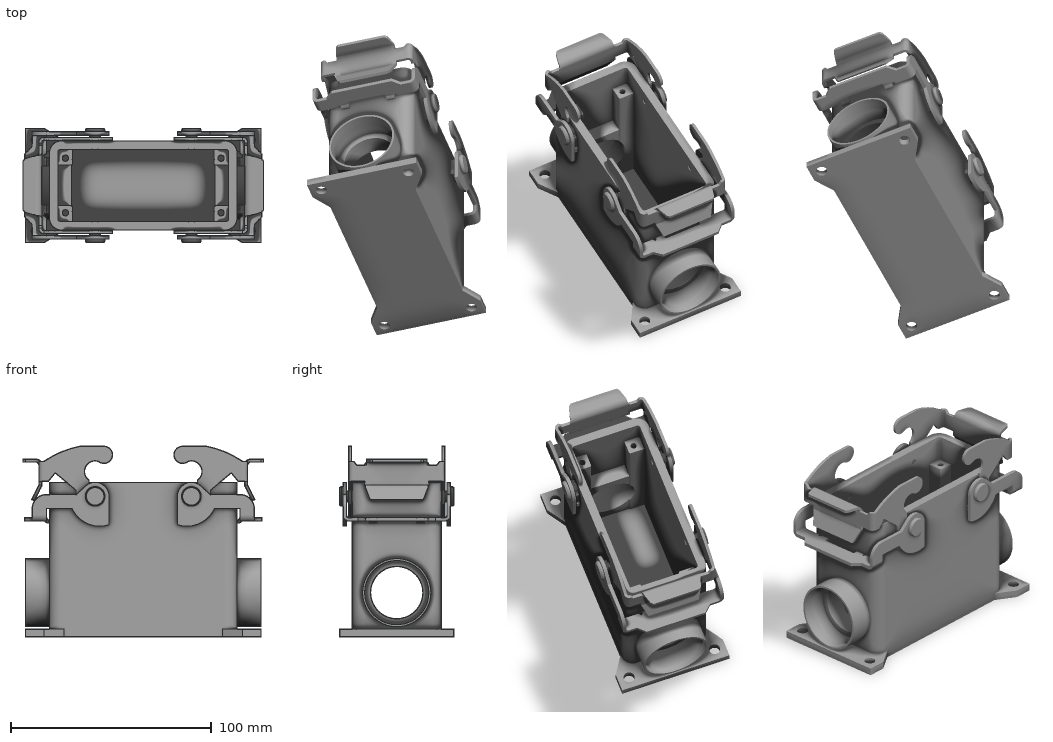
import cadquery as cq
import math


body_half_x = 46.75
body_half_y = 22.25
body_height = 77.0
body_corner_radius = 6.0
cavity_half_x = 42.6
cavity_half_y = 18.0
cavity_corner_radius = 1.5
flange_height = 3.75
floor_thickness = flange_height

flange_half_x = 58.75
flange_half_y = 28.5
flange_straight_x = 49.4
flange_root_x = 39.5
mount_hole_diameter = 5.5
mount_hole_x = 53.0
mount_hole_y = 22.75

pillar_inner_x = 35.3
pillar_inner_y = 10.1
pillar_top = 64.1
pillar_edge_radius = 0.8
pillar_hole_diameter = 3.1
pillar_hole_x = 38.8
pillar_hole_y = 13.6
pillar_hole_depth = 12.0

port_height = 22.0
port_outer_radius = 17.0
port_bore_radius = 16.0
port_hole_radius = 13.0
port_bore_depth = 13.3
port_block_inner_x = 35.8
port_block_top = port_height + port_outer_radius

pivot_x = 24.0
pivot_z = 70.0
pin_radius = 2.75
pin_head_radius = 4.9
pin_head_face_radius = 4.4
pin_head_taper_length = 0.9
pin_inner_radius = 1.5
pin_inner_recess = 0.5

lever_outer_y = 24.0
lever_sheet = 1.5
lever_inner_y = lever_outer_y - lever_sheet
lever_wall_x = 52.1
lever_wall_inner_x = lever_wall_x - lever_sheet
lever_bend_radius = 2.5
lever_bend_x = lever_wall_x - lever_bend_radius
lever_arm_top = 87.4
lever_wall_top = 85.6
lever_wall_bottom = 77.5
lever_top = 95.0
lever_flat_x = 31.5
lever_crown_point = (41.5, 91.9)
lever_notch_apex = (43.9, 81.7)
lever_notch_foot_x = 47.3
lever_wall_notch_bottom_half_y = 20.0
lever_wall_notch_top_half_y = 21.3
hook_tip_x = 19.6
hook_tip_radius = 4.3
hook_tip_z = lever_top - hook_tip_radius
hook_throat_z = 82.4
hook_throat_radius = 5.25
hook_neck_x = 27.0
lever_heel_x = 33.6
lever_heel_z = 73.1
lever_heel_bottom = 66.0
lever_tail_x = 18.5
lever_tail_step = 1.0
lever_tail_top = 62.8
lever_tail_bottom = 60.0

overall_length = 119.97
grip_end_x = overall_length / 2
grip_bend_radius = 1.5
grip_bend_x = lever_wall_x + grip_bend_radius
grip_root_rise = 0.4
grip_root_half_y = 15.2
grip_bend_half_y = 14.9
grip_corner_x = 58.8
grip_corner_half_y = 13.4
grip_end_half_y = 12.2
flap_half_y = 16.0
flap_tip_half_y = 13.3
flap_corner_bevel = 1.0
flap_kink_z = 75.6
flap_tip_z = 68.4
flap_tip_x = 55.6

clip_sheet = 1.8
clip_inner_y = 25.0
clip_outer_y = clip_inner_y + clip_sheet
clip_bridge_bottom = 57.6
clip_bridge_top = clip_bridge_bottom + clip_sheet
clip_bend_radius = 3.0
clip_leg_inner_x = 48.2
clip_leg_outer_x = 55.4
clip_arm_bottom = 63.85
clip_arm_top = 70.9
clip_eye_radius = 7.0
clip_shoulder_x = 33.4
clip_tail_z = 55.9
clip_tail_point = (27.6, 56.3)
clip_tail_end_x = 35.5
clip_bridge_outer_x = 59.2
clip_bulge_root_half_y = 19.4
clip_bulge_half_y = 15.6
clip_tab_inner_y = 9.8
clip_tab_outer_y = 13.9
clip_notch_x = 50.8
clip_notch_radius = 0.8
clip_tab_tip_x = 46.9
clip_tab_drop = 0.9
clip_tab_root = 1.0
clip_tab_toe = 0.3
relief_flank_x = 49.1
relief_point = (49.7, 15.0)
relief_outer_y = 16.0


def box(x0, x1, y0, y1, z0, z1):
    """Box between two opposite corners."""
    return cq.Workplane("XY").box(x1 - x0, y1 - y0, z1 - z0, centered=False).translate((x0, y0, z0))


def with_other_side(shape):
    """Add the mirror image across the XZ plane."""
    return shape.union(shape.mirror("XZ"))


def with_other_end(shape):
    """Add the mirror image across the YZ plane."""
    return shape.union(shape.mirror("YZ"))


def side_plane(y):
    """XZ sketch plane at distance y on the -Y side; extrusions run away from the body."""
    return cq.Workplane("XZ", origin=(0, -y, 0))


def polar(center, radius, degrees):
    """Point on a circle at an angle measured from +X."""
    angle = math.radians(degrees)
    return (center[0] + radius * math.cos(angle), center[1] + radius * math.sin(angle))


def make_shell():
    outer = box(-body_half_x, body_half_x, -body_half_y, body_half_y, 0, body_height)
    cavity = box(-cavity_half_x, cavity_half_x, -cavity_half_y, cavity_half_y, floor_thickness, body_height)
    outer = outer.edges("|Z").fillet(body_corner_radius)
    return outer.cut(cavity.edges("|Z").fillet(cavity_corner_radius))


def make_flange():
    """Mounting flange at the +X end, with its two screw holes."""
    outline = [
        (flange_root_x, -body_half_y),
        (flange_straight_x, -flange_half_y),
        (flange_half_x, -flange_half_y),
        (flange_half_x, flange_half_y),
        (flange_straight_x, flange_half_y),
        (flange_root_x, body_half_y),
    ]
    holes = [(mount_hole_x, -mount_hole_y), (mount_hole_x, mount_hole_y)]
    plate = cq.Workplane("XY").polyline(outline).close().extrude(flange_height)
    screws = cq.Workplane("XY").pushPoints(holes).circle(mount_hole_diameter / 2)
    return plate.cut(screws.extrude(flange_height))


def make_pillars():
    """Two pillars in the corners of the +X end of the cavity, with blind screw holes."""
    wall_overlap = 1.0
    pillar = box(
        pillar_inner_x, cavity_half_x + wall_overlap,
        -cavity_half_y - wall_overlap, -pillar_inner_y,
        0, pillar_top,
    )
    pillar = pillar.edges("|Z and <X and >Y").fillet(pillar_edge_radius)
    hole = cq.Workplane("XY", origin=(pillar_hole_x, -pillar_hole_y, pillar_top))
    return with_other_side(pillar.cut(hole.circle(pillar_hole_diameter / 2).extrude(-pillar_hole_depth)))


def port_cylinder(radius, x0, x1):
    return cq.Workplane("YZ", origin=(x0, 0, port_height)).circle(radius).extrude(x1 - x0)


def make_port():
    """Solid port tube and the thick block behind it, at the +X end."""
    block = box(port_block_inner_x, body_half_x, -pillar_inner_y, pillar_inner_y, 0, port_block_top)
    return block.union(port_cylinder(port_outer_radius, cavity_half_x, flange_half_x))


def make_port_bore():
    hole = port_cylinder(port_hole_radius, 0, flange_half_x)
    return hole.union(port_cylinder(port_bore_radius, flange_half_x - port_bore_depth, flange_half_x))


def make_housing():
    end = make_flange().union(make_pillars()).union(make_port())
    return make_shell().union(with_other_end(end)).cut(with_other_end(make_port_bore()))


def make_pin():
    """Headed pivot pin through the housing wall on the -Y side."""
    shank = side_plane(cavity_half_y + pin_inner_recess).center(pivot_x, pivot_z)
    shank = shank.circle(pin_radius).extrude(clip_outer_y - cavity_half_y - pin_inner_recess)
    taper_y = flange_half_y - pin_head_taper_length
    taper_angle = math.degrees(math.atan2(pin_head_radius - pin_head_face_radius, pin_head_taper_length))
    head = side_plane(clip_outer_y).center(pivot_x, pivot_z)
    head = head.circle(pin_head_radius).extrude(taper_y - clip_outer_y)
    crown = side_plane(taper_y).center(pivot_x, pivot_z)
    crown = crown.circle(pin_head_radius).extrude(pin_head_taper_length, taper=taper_angle)
    return shank.union(head).union(crown)


def make_pin_recess():
    """Shallow recess at the inner end of the pin."""
    recess = side_plane(cavity_half_y).center(pivot_x, pivot_z)
    return recess.circle(pin_inner_radius).extrude(pin_inner_recess)


def make_lever_side():
    """Hooked side plate of the lever on the -Y side."""
    tip = (hook_tip_x, hook_tip_z)
    throat = (pivot_x, hook_throat_z)
    spacing = math.dist(tip, throat)
    along = (hook_tip_radius ** 2 - hook_throat_radius ** 2 + spacing ** 2) / (2 * spacing)
    bearing = math.degrees(math.atan2(throat[1] - tip[1], throat[0] - tip[0]))
    spread = math.degrees(math.acos(along / hook_tip_radius))
    tip_end = polar(tip, hook_tip_radius, bearing + spread)
    neck_z = hook_throat_z - math.sqrt(hook_throat_radius ** 2 - (hook_neck_x - pivot_x) ** 2)

    profile = side_plane(lever_inner_y).moveTo(lever_bend_x, lever_arm_top)
    profile = profile.threePointArc(lever_crown_point, (lever_flat_x, lever_top))
    profile = profile.lineTo(hook_tip_x, lever_top)
    profile = profile.threePointArc(polar(tip, hook_tip_radius, 180), tip_end)
    profile = profile.threePointArc(polar(throat, hook_throat_radius, 0), (hook_neck_x, neck_z))
    profile = profile.lineTo(hook_neck_x, pivot_z + pin_radius)
    profile = profile.lineTo(lever_tail_x + lever_tail_step, pivot_z)
    profile = profile.lineTo(lever_tail_x + lever_tail_step, lever_tail_top)
    profile = profile.lineTo(lever_tail_x, lever_tail_top)
    profile = profile.lineTo(lever_tail_x, lever_tail_bottom)
    profile = profile.lineTo(pivot_x, lever_tail_bottom)
    profile = profile.lineTo(lever_heel_x, lever_heel_bottom)
    profile = profile.lineTo(lever_heel_x, lever_heel_z)
    profile = profile.lineTo(*lever_notch_apex)
    profile = profile.lineTo(lever_notch_foot_x, lever_wall_bottom)
    profile = profile.lineTo(lever_bend_x, lever_wall_bottom)
    return profile.close().extrude(lever_sheet)


def make_lever_wall():
    """Cross wall of the lever with the bends that join it to the side plates."""
    outer = box(0, lever_wall_x, -lever_outer_y, lever_outer_y, lever_wall_bottom, lever_arm_top)
    inner = box(0, lever_wall_inner_x, -lever_inner_y, lever_inner_y, lever_wall_bottom, lever_arm_top)
    outer = outer.edges("|Z and >X").fillet(lever_bend_radius)
    inner = inner.edges("|Z and >X").fillet(lever_bend_radius - lever_sheet)
    wall = outer.cut(inner).cut(box(0, lever_bend_x, -lever_outer_y, lever_outer_y, 0, lever_top))
    top_notch = [
        (-lever_wall_notch_bottom_half_y, lever_wall_top),
        (lever_wall_notch_bottom_half_y, lever_wall_top),
        (lever_wall_notch_top_half_y, lever_arm_top),
        (-lever_wall_notch_top_half_y, lever_arm_top),
    ]
    return wall.cut(cq.Workplane("YZ").polyline(top_notch).close().extrude(lever_wall_x))


def make_grip():
    """Finger grip bent outwards from the top of the cross wall."""
    bend = (grip_bend_x, lever_wall_top)
    outer_radius = grip_bend_radius + lever_sheet
    profile = cq.Workplane("XZ").moveTo(lever_wall_x, lever_wall_top)
    profile = profile.threePointArc(polar(bend, grip_bend_radius, 135), polar(bend, grip_bend_radius, 90))
    profile = profile.lineTo(grip_end_x, lever_wall_top + grip_bend_radius)
    profile = profile.lineTo(grip_end_x, lever_wall_top + outer_radius)
    profile = profile.lineTo(grip_bend_x, lever_wall_top + outer_radius)
    profile = profile.threePointArc(polar(bend, outer_radius, 135), (lever_wall_inner_x, lever_wall_top))
    sheet = profile.close().extrude(flap_half_y, both=True)
    half_outline = [
        (lever_wall_inner_x, flap_half_y),
        (lever_wall_inner_x + grip_root_rise, grip_root_half_y),
        (grip_bend_x, grip_bend_half_y),
        (grip_corner_x, grip_corner_half_y),
        (grip_end_x, grip_end_half_y),
    ]
    outline = half_outline + [(x, -y) for x, y in reversed(half_outline)]
    return sheet.intersect(cq.Workplane("XY").polyline(outline).close().extrude(lever_top))


def make_flap():
    """Lower flap, splayed outwards below the cross wall and narrowing towards its tip."""
    angle = math.atan2(flap_kink_z - flap_tip_z, flap_tip_x - lever_wall_x)
    inner_tip = (flap_tip_x - lever_sheet * math.sin(angle), flap_tip_z - lever_sheet * math.cos(angle))
    profile = [
        (lever_wall_x, lever_wall_bottom),
        (lever_wall_x, flap_kink_z),
        (flap_tip_x, flap_tip_z),
        inner_tip,
        (lever_wall_inner_x, flap_kink_z - lever_sheet * math.tan((math.pi / 2 - angle) / 2)),
        (lever_wall_inner_x, lever_wall_bottom),
    ]
    sheet = cq.Workplane("XZ").polyline(profile).close().extrude(flap_half_y, both=True)
    outline = [
        (-flap_half_y, lever_wall_bottom),
        (-flap_half_y, flap_kink_z),
        (-flap_tip_half_y, flap_tip_z),
        (-flap_tip_half_y + flap_corner_bevel, inner_tip[1]),
        (flap_tip_half_y - flap_corner_bevel, inner_tip[1]),
        (flap_tip_half_y, flap_tip_z),
        (flap_half_y, flap_kink_z),
        (flap_half_y, lever_wall_bottom),
    ]
    return sheet.intersect(cq.Workplane("YZ").polyline(outline).close().extrude(flange_half_x))


def make_lever():
    return with_other_side(make_lever_side()).union(make_lever_wall()).union(make_grip()).union(make_flap())


def make_clip_side():
    """Side plate of the clip: eye around the pin, rounded tail and arm reaching over the end."""
    pivot = (pivot_x, pivot_z)
    shoulder = (clip_shoulder_x, clip_arm_top)
    reach = math.dist(pivot, shoulder)
    bearing = math.degrees(math.atan2(shoulder[1] - pivot_z, shoulder[0] - pivot_x))
    tangent = bearing + math.degrees(math.acos(clip_eye_radius / reach))
    arm_radius = clip_arm_top - clip_arm_bottom
    arm_center = (clip_leg_outer_x - arm_radius, clip_arm_bottom)
    leg_bottom = clip_bridge_bottom + clip_bend_radius

    profile = side_plane(clip_inner_y).moveTo(*shoulder)
    profile = profile.lineTo(*polar(pivot, clip_eye_radius, tangent))
    profile = profile.threePointArc(
        polar(pivot, clip_eye_radius, (tangent + 180) / 2),
        polar(pivot, clip_eye_radius, 180),
    )
    profile = profile.lineTo(pivot_x - clip_eye_radius, clip_tail_z)
    profile = profile.threePointArc(clip_tail_point, (clip_tail_end_x, clip_arm_bottom))
    profile = profile.lineTo(clip_leg_inner_x, clip_arm_bottom)
    profile = profile.lineTo(clip_leg_inner_x, leg_bottom)
    profile = profile.lineTo(clip_leg_outer_x, leg_bottom)
    profile = profile.lineTo(clip_leg_outer_x, clip_arm_bottom)
    profile = profile.threePointArc(polar(arm_center, arm_radius, 45), polar(arm_center, arm_radius, 90))
    return profile.close().extrude(clip_sheet)


def make_clip_bridge():
    """Bridge joining the two legs under the end, with bent corners."""
    outer = box(
        clip_leg_inner_x, clip_leg_outer_x, -clip_outer_y, clip_outer_y, clip_bridge_bottom, clip_arm_bottom,
    )
    inner = box(
        clip_leg_inner_x, clip_leg_outer_x, -clip_inner_y, clip_inner_y, clip_bridge_top, clip_arm_top,
    )
    outer = outer.edges("|X and <Z").fillet(clip_bend_radius)
    bridge = outer.cut(inner.edges("|X and <Z").fillet(clip_bend_radius - clip_sheet))
    bulge = [
        (clip_leg_outer_x, -clip_bulge_root_half_y),
        (clip_bridge_outer_x, -clip_bulge_half_y),
        (clip_bridge_outer_x, clip_bulge_half_y),
        (clip_leg_outer_x, clip_bulge_root_half_y),
    ]
    bulge_plate = cq.Workplane("XY", origin=(0, 0, clip_bridge_bottom)).polyline(bulge).close()
    window = box(
        clip_leg_inner_x, clip_notch_x, -clip_tab_inner_y, clip_tab_inner_y, clip_bridge_bottom, clip_arm_top,
    )
    window = window.edges("|Z and >X").fillet(clip_notch_radius)
    return bridge.union(bulge_plate.extrude(clip_sheet)).cut(window).cut(make_tab_reliefs())


def make_tab_reliefs():
    """Pointed notches in the bridge just outside the two tabs."""
    outline = [
        (clip_leg_inner_x, clip_tab_outer_y),
        (relief_flank_x, clip_tab_outer_y),
        relief_point,
        (clip_leg_inner_x, relief_outer_y),
    ]
    notch = cq.Workplane("XY", origin=(0, 0, clip_bridge_bottom)).polyline(outline).close()
    return with_other_side(notch.extrude(clip_sheet))


def make_clip_tab():
    """Small tab bent down from the bridge towards the end wall, on the -Y side."""
    profile = [
        (clip_leg_inner_x + clip_tab_root, clip_bridge_top),
        (clip_leg_inner_x, clip_bridge_top),
        (clip_tab_tip_x, clip_bridge_bottom),
        (clip_tab_tip_x, clip_bridge_bottom - clip_tab_drop),
        (clip_leg_inner_x - clip_tab_toe, clip_bridge_bottom - clip_tab_drop),
        (clip_leg_inner_x + clip_tab_root, clip_bridge_bottom),
    ]
    tab = side_plane(clip_tab_inner_y).polyline(profile).close()
    return tab.extrude(clip_tab_outer_y - clip_tab_inner_y)


def make_clip():
    return with_other_side(make_clip_side().union(make_clip_tab())).union(make_clip_bridge())


def make_latch():
    """Pins, lever and spring clip of the +X end."""
    return with_other_side(make_pin()).union(make_lever()).union(make_clip())


pin_recesses = with_other_end(with_other_side(make_pin_recess()))
result = make_housing().cut(pin_recesses).union(with_other_end(make_latch()))